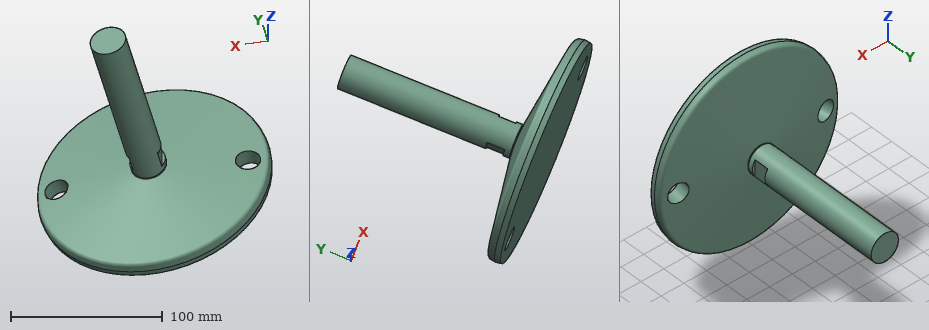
import cadquery as cq
import math

total_length = 144.0
plate_radius = 79.0
stem_diameter = 24.0

widest_height = 4.1
rim_height = 7.3
rim_draft = 0.6
shoulder_radius = 2.5
cone_angle = math.radians(9.5)
cone_top_radius = 13.5
cone_top_height = 20.5

neck_radius = 11.5
neck_length = 0.8

flat_start = 25.8
flat_length = 12.5
across_flats = 19.3

hole_diameter = 16.5
hole_offset = 62.7
hole_reach = 31.6


def make_plate():
    """Revolve the plate about Y, rounding the shoulder tangent to the cone."""
    rim_radius = plate_radius - rim_draft
    centre_x = rim_radius - shoulder_radius

    def on_shoulder(angle):
        return (centre_x + shoulder_radius * math.cos(angle),
                rim_height + shoulder_radius * math.sin(angle))

    tangent_angle = math.pi / 2 - cone_angle
    return (
        cq.Workplane("XY")
        .lineTo(rim_radius, 0)
        .lineTo(plate_radius, widest_height)
        .lineTo(rim_radius, rim_height)
        .threePointArc(on_shoulder(tangent_angle / 2), on_shoulder(tangent_angle))
        .lineTo(cone_top_radius, cone_top_height)
        .lineTo(0, cone_top_height)
        .close()
        .revolve(360, (0, 0, 0), (0, 1, 0))
    )


def rod(radius, start, end):
    """Cylinder on the Y axis between two heights."""
    return cq.Workplane("XZ", origin=(0, start, 0)).circle(radius).extrude(start - end)


def make_flat_cutter(side):
    """Block that cuts one wrench flat on the given X side."""
    block_width = stem_diameter
    centre_x = side * (across_flats + block_width) / 2
    centre_y = flat_start + flat_length / 2
    return (
        cq.Workplane("XY")
        .box(block_width, flat_length, 2 * stem_diameter)
        .translate((centre_x, centre_y, 0))
    )


def make_hole_cutter(side):
    """Cylinder through the plate, leaning outward with the cone's normal."""
    direction = cq.Vector(side * math.sin(cone_angle), math.cos(cone_angle), 0)
    start = cq.Vector(side * hole_offset, 0, 0) - direction * hole_reach
    return cq.Solid.makeCylinder(hole_diameter / 2, 2 * hole_reach, start, direction)


stem_start = cone_top_height + neck_length
result = make_plate()
result = result.union(rod(neck_radius, cone_top_height, stem_start))
result = result.union(rod(stem_diameter / 2, stem_start, total_length))
for side in (-1, 1):
    result = result.cut(make_flat_cutter(side))
    result = result.cut(make_hole_cutter(side))